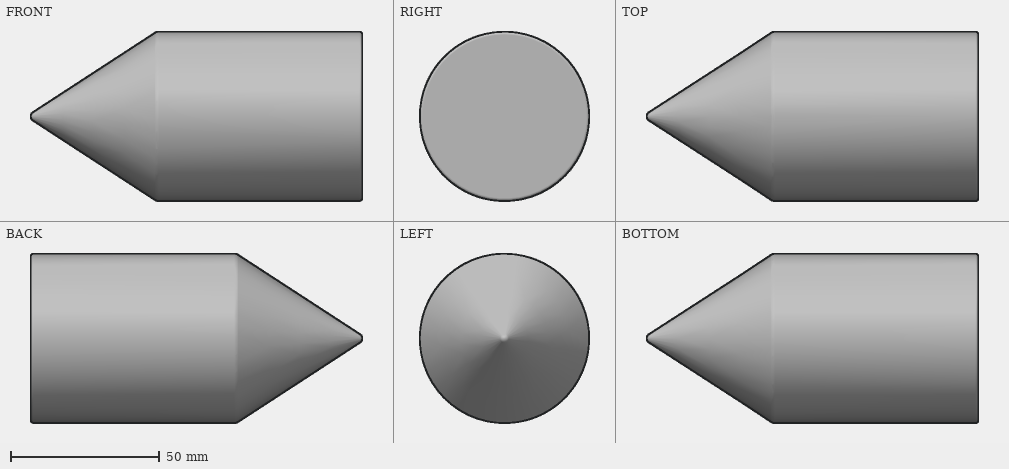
import cadquery as cq
import math

total_length = 112.0
body_diameter = 57.2
tip_radius = 1.7
shoulder_radius = 2.0
rear_edge_radius = 1.0
shoulder_position = 42.6

body_radius = body_diameter / 2

corner_offset = shoulder_position - tip_radius
half_angle = math.atan2(body_radius, corner_offset) - math.asin(
    tip_radius / math.hypot(corner_offset, body_radius)
)
tangent_x = tip_radius * (1 - math.sin(half_angle))
tangent_z = tip_radius * math.cos(half_angle)
mid_angle = (math.pi / 2 - half_angle) / 2
mid_x = tip_radius * (1 - math.cos(mid_angle))
mid_z = tip_radius * math.sin(mid_angle)

profile = (
    cq.Workplane("XZ")
    .moveTo(0, 0)
    .threePointArc((mid_x, mid_z), (tangent_x, tangent_z))
    .lineTo(shoulder_position, body_radius)
    .lineTo(total_length, body_radius)
    .lineTo(total_length, 0)
    .close()
)
solid = profile.revolve(360, (0, 0, 0), (1, 0, 0))

shoulder_selector = cq.selectors.NearestToPointSelector((shoulder_position, 0, 0))
solid = solid.edges("%CIRCLE").edges(shoulder_selector)
solid = solid.fillet(shoulder_radius)

result = solid.faces(">X").edges().fillet(rear_edge_radius)